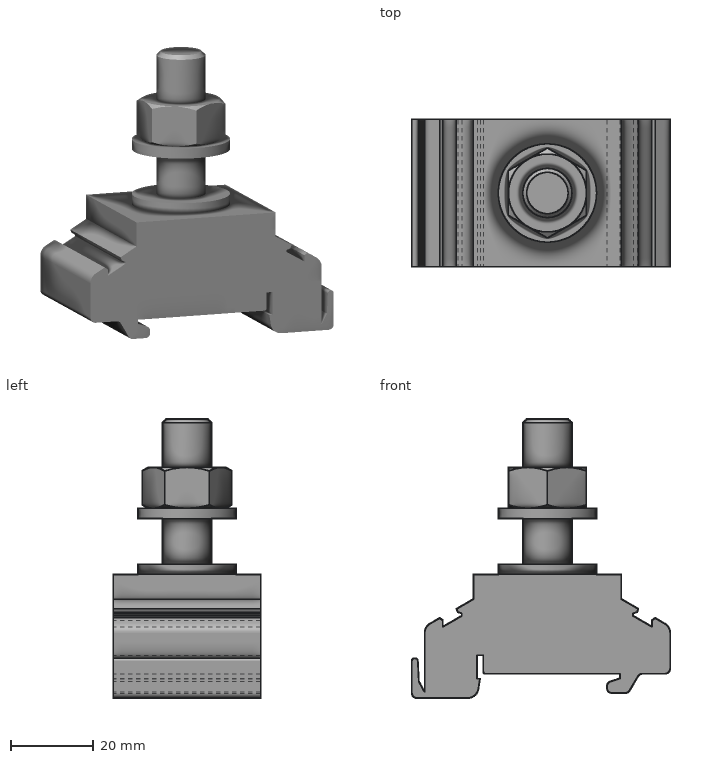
import cadquery as cq
import math


depth = 36.0
body_half_width = 30.0
crown_half_width = 18.05
crown_top_z = 30.2
crown_base_z = 24.2
base_z = 5.9
shoulder_slope = math.tan(math.radians(30))
shoulder_radius = 2.7
base_corner_radius = 1.35

lip_x = 22.2
groove_inner_x = 20.9
groove_outer_x = 25.5
groove_inner_z = 20.1
tooth_x = 26.3
tooth_z = 19.55

arm_outer_x = -33.1
arm_top_z = 9.75
arm_tip_width = 1.5
arm_root_width = 1.8
arm_root_z = 4.1
arm_gap_bottom_z = 1.6
arm_tip_radius = 0.7
arm_corner_radius = 1.3
foot_inner_x = -17.15
foot_toe_x = -16.4
foot_toe_z = 4.8
foot_corner_radius = 2.7

slot_width = 1.5
slot_top_z = 10.4
slot_corner_radius = 0.55

hook_bottom_z = 1.2
hook_throat_x = 17.65
hook_throat_z = 4.85
hook_tip_x = 14.5
hook_tip_z = 3.8
hook_heel_x = 19.7
hook_root_x = 22.5
hook_radius = 1.2

stud_diameter = 12.0
stud_top_z = 68.1
stud_chamfer = 0.95
washer_diameter = 24.0
washer_thickness = 2.5
nut_top_z = 56.25
nut_height = 9.95
nut_across_flats = 19.0
nut_chamfer_angle = 30


def shoulder_points():
    """Right-hand shoulder from the crown outward, with the groove cut into it."""
    lip_z = crown_base_z - shoulder_slope * (lip_x - crown_half_width)
    lip_inset = 0.35
    lip_height = 0.8
    groove_inner_height = 0.55
    tooth_drop = 0.55
    groove_outer_z = groove_inner_z - shoulder_slope * (groove_outer_x - groove_inner_x)
    shoulder_end_z = tooth_z - shoulder_slope * (body_half_width - tooth_x)
    return [
        (crown_half_width, crown_top_z),
        (crown_half_width, crown_base_z),
        (lip_x, lip_z),
        (lip_x - lip_inset, lip_z - lip_height),
        (groove_inner_x, groove_inner_z + groove_inner_height),
        (groove_inner_x, groove_inner_z),
        (groove_outer_x, groove_outer_z),
        (groove_outer_x, tooth_z - tooth_drop),
        (tooth_x, tooth_z),
        (body_half_width, shoulder_end_z),
    ]


def round_corner(body, point, radius):
    """Fillet the edge along Y that passes through an outline corner."""
    x, z = point
    reach = 0.035
    selector = cq.selectors.BoxSelector(
        (x - reach, -depth, z - reach), (x + reach, depth, z + reach)
    )
    return body.edges("|Y").edges(selector).fillet(radius)


def make_housing():
    right_shoulder = shoulder_points()
    left_shoulder = [(-x, z) for x, z in reversed(right_shoulder)]

    base_corner = (body_half_width, base_z)
    hook_root = (hook_root_x, base_z)
    hook_heel = (hook_heel_x, hook_bottom_z)
    hook_toe = (hook_tip_x, hook_bottom_z)
    hook_tip = (hook_tip_x, hook_tip_z)
    hook = [
        base_corner,
        hook_root,
        hook_heel,
        hook_toe,
        hook_tip,
        (hook_throat_x, hook_throat_z),
        (hook_throat_x, base_z),
    ]

    slot_corner = (foot_inner_x + slot_width, base_z)
    foot_corner = (foot_inner_x, 0)
    arm_corner = (arm_outer_x, 0)
    arm_tip_outer = (arm_outer_x, arm_top_z)
    arm_tip_inner = (arm_outer_x + arm_tip_width, arm_top_z)
    foot = [
        slot_corner,
        (foot_inner_x + slot_width, slot_top_z),
        (foot_inner_x, slot_top_z),
        (foot_inner_x, foot_toe_z),
        (foot_toe_x, foot_toe_z),
        foot_corner,
        arm_corner,
        arm_tip_outer,
        arm_tip_inner,
        (arm_outer_x + arm_root_width, arm_root_z),
        (-body_half_width, arm_gap_bottom_z),
    ]

    outline = right_shoulder + hook + foot + left_shoulder
    body = cq.Workplane("XZ").polyline(outline).close().extrude(depth / 2, both=True)

    rounded_corners = [
        (right_shoulder[-1], shoulder_radius),
        (left_shoulder[0], shoulder_radius),
        (base_corner, base_corner_radius),
        (hook_root, hook_radius),
        (hook_heel, hook_radius),
        (hook_toe, hook_radius),
        (hook_tip, hook_radius),
        (slot_corner, slot_corner_radius),
        (foot_corner, foot_corner_radius),
        (arm_corner, arm_corner_radius),
        (arm_tip_outer, arm_tip_radius),
        (arm_tip_inner, arm_tip_radius),
    ]
    for point, radius in rounded_corners:
        body = round_corner(body, point, radius)
    return body


def cylinder(diameter, bottom_z, height):
    return cq.Workplane("XY").workplane(offset=bottom_z).circle(diameter / 2).extrude(height)


def make_stud():
    stud = cylinder(stud_diameter, crown_top_z, stud_top_z - crown_top_z)
    return stud.faces(">Z").chamfer(stud_chamfer)


def make_nut():
    """Hexagon with two corners on Y, its corners bevelled by a cone at both ends."""
    bottom_z = nut_top_z - nut_height
    flat_radius = nut_across_flats / 2
    corner_radius = flat_radius / math.cos(math.radians(30))
    bevel_drop = (corner_radius - flat_radius) * math.tan(math.radians(nut_chamfer_angle))
    hexagon = (
        cq.Workplane("XY")
        .workplane(offset=bottom_z)
        .transformed(rotate=(0, 0, 90))
        .polygon(6, 2 * corner_radius)
        .extrude(nut_height)
    )
    bevel_profile = [
        (0, bottom_z),
        (flat_radius, bottom_z),
        (corner_radius, bottom_z + bevel_drop),
        (corner_radius, nut_top_z - bevel_drop),
        (flat_radius, nut_top_z),
        (0, nut_top_z),
    ]
    bevel = cq.Workplane("XZ").polyline(bevel_profile).close().revolve(360, (0, 0), (0, 1))
    return hexagon.intersect(bevel)


upper_washer_z = nut_top_z - nut_height - washer_thickness

result = make_housing().union(make_stud()).union(make_nut())
for washer_z in (crown_top_z, upper_washer_z):
    result = result.union(cylinder(washer_diameter, washer_z, washer_thickness))